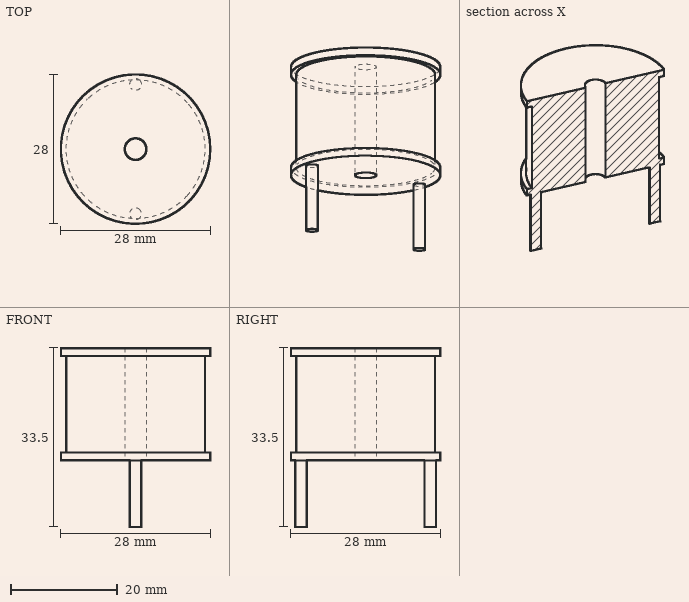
import cadquery as cq

flange_diameter = 28.0
flange_thickness = 1.5
winding_diameter = 26.0
body_height = 21.0
bore_diameter = 4.0

pin_diameter = 2.2
pin_length = 12.5
pin_spacing = 24.2


def make_cylinder(diameter, bottom, height):
    """Upright cylinder centred on the Z axis."""
    return cq.Workplane("XY").workplane(offset=bottom).circle(diameter / 2).extrude(height)


def make_body():
    """Winding between two flanges, with the bottom face at Z = 0."""
    winding = make_cylinder(winding_diameter, 0, body_height)
    bottom_flange = make_cylinder(flange_diameter, 0, flange_thickness)
    top_flange = make_cylinder(flange_diameter, body_height - flange_thickness, flange_thickness)
    return winding.union(bottom_flange).union(top_flange)


def make_bore():
    """Axial through hole."""
    return make_cylinder(bore_diameter, 0, body_height)


def make_pins():
    """Two pins on the Y axis, hanging from the bottom face."""
    pin_offset = pin_spacing / 2
    return (
        cq.Workplane("XY")
        .pushPoints([(0, -pin_offset), (0, pin_offset)])
        .circle(pin_diameter / 2)
        .extrude(-pin_length)
    )


result = make_body().cut(make_bore()).union(make_pins())